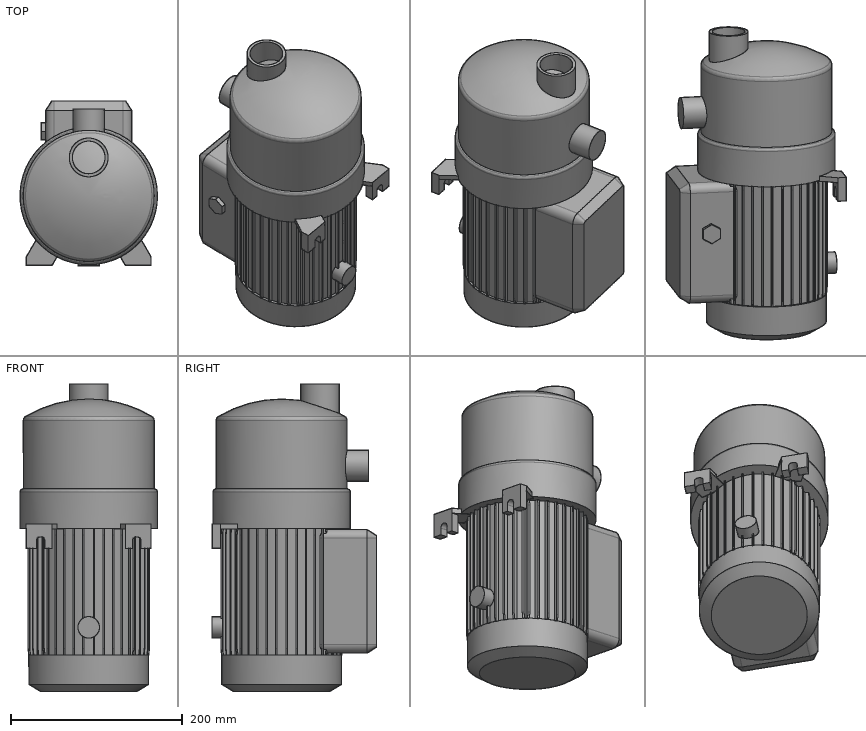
import cadquery as cq
import math

TOTAL_HEIGHT = 358.0

CAP_RADIUS = 69.8
CAP_BOTTOM_RADIUS = 56.0
CAP_CONE_HEIGHT = 8.5
CAP_TOP = 43.0

CORE_RADIUS = 67.0
FIN_TIP_RADIUS = 71.0
FIN_END_RADIUS = 70.0
FIN_END_TAPER = 7.5
FIN_THICKNESS = 1.6
FIN_FIRST_ANGLE = 5.0
FIN_ANGLE_STEP = 9.3
FINS_PER_HALF_SIDE = 5

COLLAR_RADIUS = 160.0 / 2
COLLAR_BOTTOM = 189.7
COLLAR_TOP = 236.3
COLLAR_EDGE_FILLET = 3.5
COLLAR_RIM_DROP = 1.8

CASING_RADIUS = 76.3
CASING_EDGE_FILLET = 5.7
DOME_RADIUS = 143.2
DOME_TOP = 340.5

TOP_PORT_RADIUS = 22.5
TOP_PORT_BORE_RADIUS = 19.0
TOP_PORT_Y = 44.8
BACK_PORT_RADIUS = 18.3
BACK_PORT_Z = 262.8
BACK_PORT_END_Y = 101.3

FOOT_INNER_X = 42.5
FOOT_OUTER_X = 72.5
FOOT_FACE_Y = -81.0
FOOT_TOP = 195.0
FOOT_BOTTOM = 167.0
FOOT_PLATE_THICKNESS = 6.0
FOOT_LEG_THICKNESS = 10.0
FOOT_SIDE_ANGLE = 30.0
FOOT_ROOT_LENGTH = 28.5
FOOT_SLOT_X = 56.0
FOOT_SLOT_RADIUS = 5.0
FOOT_SLOT_TOP = 180.0

BOX_WIDTH = 100.2
BOX_BACK_Y = 110.5
BOX_ROOT_Y = 35.8
BOX_BOTTOM = 44.8
BOX_TOP = 188.5
BOX_CORNER_RADIUS = 10.0
BOX_CHAMFER_DEPTH = 11.0
BOX_CHAMFER_INSET = 7.0

GLAND_ACROSS_FLATS = 20.0
GLAND_LENGTH = 5.5
GLAND_Y = 75.2
GLAND_Z = 130.0

BOSS_RADIUS = 12.5
BOSS_FACE_Y = -81.3
BOSS_Z = 75.0


def cylinder(radius, bottom, top):
    return cq.Workplane("XY").workplane(offset=bottom).circle(radius).extrude(top - bottom)


def revolve_about_axis(profile):
    """Full turn about Z of a closed outline given as (radius, height) points."""
    return cq.Workplane("XZ").polyline(profile).close().revolve(360, (0, 0), (0, 1))


def make_end_cap():
    profile = [
        (0, 0),
        (CAP_BOTTOM_RADIUS, 0),
        (CAP_RADIUS, CAP_CONE_HEIGHT),
        (CAP_RADIUS, CAP_TOP),
        (0, CAP_TOP),
    ]
    return revolve_about_axis(profile)


def make_fins():
    """Parallel fins on each of the four sides, trimmed to one round outline with tapered ends."""
    fin_height = COLLAR_BOTTOM - CAP_TOP
    centres = []
    for index in range(FINS_PER_HALF_SIDE):
        angle = math.radians(FIN_FIRST_ANGLE + index * FIN_ANGLE_STEP)
        offset = FIN_TIP_RADIUS * math.sin(angle)
        centres += [(0, offset), (0, -offset)]
    base = cq.Workplane("XY").workplane(offset=CAP_TOP)
    span = 2 * FIN_TIP_RADIUS
    along_x = base.pushPoints(centres).rect(span, FIN_THICKNESS).extrude(fin_height)
    along_y = along_x.rotate((0, 0, 0), (0, 0, 1), 90)
    outline = [
        (0, CAP_TOP),
        (FIN_END_RADIUS, CAP_TOP),
        (FIN_TIP_RADIUS, CAP_TOP + FIN_END_TAPER),
        (FIN_TIP_RADIUS, COLLAR_BOTTOM - FIN_END_TAPER),
        (FIN_END_RADIUS, COLLAR_BOTTOM),
        (0, COLLAR_BOTTOM),
    ]
    envelope = revolve_about_axis(outline)
    return along_x.union(along_y).intersect(envelope)


def make_collar():
    """Collar whose top slopes gently down from the casing wall to a rounded rim."""
    rim_z = COLLAR_TOP - COLLAR_RIM_DROP
    profile = [
        (0, COLLAR_BOTTOM),
        (COLLAR_RADIUS, COLLAR_BOTTOM),
        (COLLAR_RADIUS, rim_z),
        (CASING_RADIUS, COLLAR_TOP),
        (0, COLLAR_TOP),
    ]
    collar = revolve_about_axis(profile)
    return collar.faces("%CONE").edges("<Z").fillet(COLLAR_EDGE_FILLET)


def make_foot():
    """Foot on the +X side: a flat plate under the collar and a slotted leg at its front."""
    root_dx = FOOT_ROOT_LENGTH * math.sin(math.radians(FOOT_SIDE_ANGLE))
    root_dy = FOOT_ROOT_LENGTH * math.cos(math.radians(FOOT_SIDE_ANGLE))
    leg_back_y = FOOT_FACE_Y + FOOT_LEG_THICKNESS
    leg_width = FOOT_OUTER_X - FOOT_INNER_X
    leg_height = FOOT_TOP - FOOT_BOTTOM
    plate_outline = [
        (FOOT_INNER_X, FOOT_FACE_Y),
        (FOOT_OUTER_X, FOOT_FACE_Y),
        (FOOT_OUTER_X, leg_back_y),
        (FOOT_OUTER_X - root_dx, leg_back_y + root_dy),
        (FOOT_INNER_X - root_dx, FOOT_FACE_Y + root_dy),
    ]
    plate = (
        cq.Workplane("XY")
        .workplane(offset=FOOT_TOP - FOOT_PLATE_THICKNESS)
        .polyline(plate_outline)
        .close()
        .extrude(FOOT_PLATE_THICKNESS)
    )
    leg = cq.Workplane("XY").box(leg_width, FOOT_LEG_THICKNESS, leg_height, centered=False)
    leg = leg.translate((FOOT_INNER_X, FOOT_FACE_Y, FOOT_BOTTOM))
    slot_length = 2 * (FOOT_SLOT_TOP - FOOT_BOTTOM)
    slot = (
        cq.Workplane("XZ", origin=(FOOT_SLOT_X, leg_back_y, FOOT_BOTTOM))
        .slot2D(slot_length, 2 * FOOT_SLOT_RADIUS, 90)
        .extrude(FOOT_LEG_THICKNESS)
    )
    return plate.union(leg).cut(slot)


def make_terminal_box():
    depth = BOX_BACK_Y - BOX_ROOT_Y
    height = BOX_TOP - BOX_BOTTOM
    box = (
        cq.Workplane("XZ", origin=(0, BOX_ROOT_Y, BOX_BOTTOM + height / 2))
        .rect(BOX_WIDTH, height)
        .extrude(-depth)
        .edges("|Y")
        .fillet(BOX_CORNER_RADIUS)
    )
    return box.faces(">Y").edges().chamfer(BOX_CHAMFER_DEPTH, BOX_CHAMFER_INSET)


def make_cable_gland():
    across_corners = GLAND_ACROSS_FLATS / math.cos(math.pi / 6)
    return (
        cq.Workplane("YZ", origin=(-BOX_WIDTH / 2, GLAND_Y, GLAND_Z))
        .transformed(rotate=(0, 0, 90))
        .polygon(6, across_corners)
        .extrude(-GLAND_LENGTH)
    )


def make_front_boss():
    return cq.Workplane("XZ", origin=(0, 0, BOSS_Z)).circle(BOSS_RADIUS).extrude(-BOSS_FACE_Y)


def make_motor():
    foot = make_foot()
    motor = make_end_cap().union(cylinder(CORE_RADIUS, CAP_TOP, COLLAR_BOTTOM))
    motor = motor.union(make_fins()).union(make_collar())
    motor = motor.union(foot).union(foot.mirror("YZ"))
    motor = motor.union(make_terminal_box()).union(make_cable_gland())
    return motor.union(make_front_boss())


def make_casing():
    """Domed casing with a back port and a tubular top port whose bore stops at the dome."""
    dome_sphere = cq.Workplane("XY", origin=(0, 0, DOME_TOP - DOME_RADIUS)).sphere(DOME_RADIUS)
    shell = cylinder(CASING_RADIUS, COLLAR_TOP, DOME_TOP).intersect(dome_sphere)
    shell = shell.faces("%CYLINDER").edges(">Z").fillet(CASING_EDGE_FILLET)
    back_port = cq.Workplane("XZ", origin=(0, 0, BACK_PORT_Z)).circle(BACK_PORT_RADIUS)
    back_port = back_port.extrude(-BACK_PORT_END_Y)
    top_port = (
        cq.Workplane("XY", origin=(0, TOP_PORT_Y, COLLAR_TOP))
        .circle(TOP_PORT_RADIUS)
        .circle(TOP_PORT_BORE_RADIUS)
        .extrude(TOTAL_HEIGHT - COLLAR_TOP)
    )
    return shell.union(back_port).union(top_port)


motor = make_motor()
casing = make_casing()

result = cq.Compound.makeCompound([motor.val(), casing.val()])